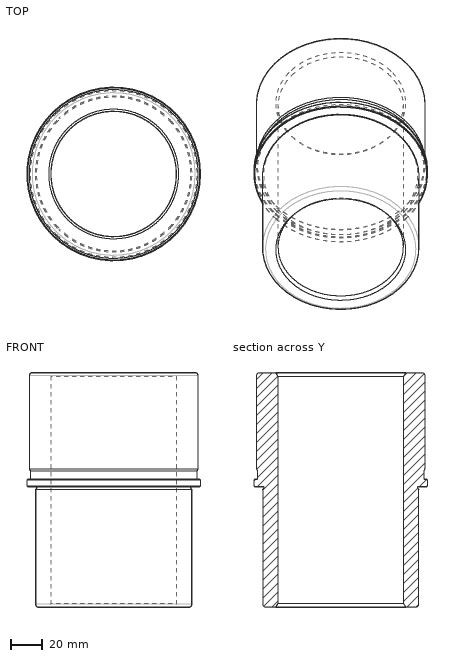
import cadquery as cq
import math

total_length = 150.0
bore_diameter = 80.0
end_fillet = 2.0

chamfer_angle = math.radians(30)
bore_chamfer_width = 1.5
bore_chamfer_height = bore_chamfer_width / math.tan(chamfer_angle)

head_diameter = 108.0
head_length = 63.0
neck_diameter = 106.5
neck_length = 5.0
head_chamfer_width = (head_diameter - neck_diameter) / 2
head_chamfer_height = head_chamfer_width / math.tan(chamfer_angle)

collar_diameter = 111.0
collar_thickness = 5.0
collar_chamfer = 0.5

shank_diameter = 100.0
relief_depth = 0.75
relief_radius = 2.0

head_bottom = total_length - head_length
collar_top = head_bottom - neck_length
collar_bottom = collar_top - collar_thickness


def cylinder(diameter, bottom, top):
    """Solid cylinder on the Z axis between two heights."""
    return cq.Workplane("XY").workplane(offset=bottom).circle(diameter / 2).extrude(top - bottom)


def make_head():
    """Head with a rounded top rim and a steep chamfer down to the neck."""
    head = cylinder(head_diameter, head_bottom, total_length)
    head = head.faces(">Z").edges().fillet(end_fillet)
    return head.faces("<Z").edges().chamfer(head_chamfer_height, head_chamfer_width)


def make_collar():
    """Locating collar with both rims chamfered."""
    collar = cylinder(collar_diameter, collar_bottom, collar_top)
    return collar.faces("<Z or >Z").edges().chamfer(collar_chamfer)


def make_shank():
    """Shank with a rounded bottom rim and the relief hollowed out below the collar."""
    shank = cylinder(shank_diameter, 0, collar_bottom)
    shank = shank.faces("<Z").edges().fillet(end_fillet)
    centre_radius = shank_diameter / 2 - relief_depth + relief_radius
    ring = cq.Workplane("XZ").center(centre_radius, collar_bottom).circle(relief_radius)
    return shank.cut(ring.revolve(360, (-centre_radius, 0, 0), (-centre_radius, 1, 0)))


def make_bore():
    """Through bore with a steep chamfer at each mouth."""
    bore_radius = bore_diameter / 2
    mouth_radius = bore_radius + bore_chamfer_width
    profile = [
        (0, 0),
        (mouth_radius, 0),
        (bore_radius, bore_chamfer_height),
        (bore_radius, total_length - bore_chamfer_height),
        (mouth_radius, total_length),
        (0, total_length),
    ]
    outline = cq.Workplane("XZ").polyline(profile).close()
    return outline.revolve(360, (0, 0, 0), (0, 1, 0))


neck = cylinder(neck_diameter, collar_top, head_bottom)
result = make_shank().union(make_collar()).union(neck).union(make_head()).cut(make_bore())